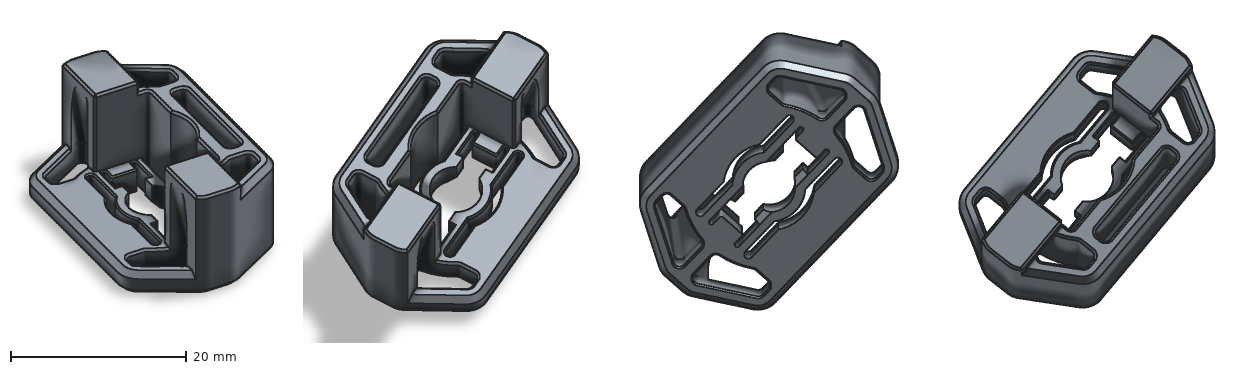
import cadquery as cq
import math

LENGTH = 32.0
WIDTH = 20.0
HEIGHT = 13.6

LONG_SIDE = 22.8
SLANT = math.radians(60)
OUTLINE_RADIUS = 2.72
OUTLINE_CHAMFER = 0.75

FLOOR_TOP = 3.0
REAR_TOP = 12.03
TOWER_WIDTH = 5.9
TOWER_INNER_X = 8.0
RIM_CHAMFER = 0.3
TOWER_CHAMFER = 0.3

CAVITY_Y = 4.22
CAVITY_RADIUS = 5.2
SLOT_INNER_Y = 3.23
SLOT_INNER_RADIUS = 4.15
SLOT_END_RADIUS = 0.48
FLOOR_RIM_CHAMFER = 0.2

OPENING_HALF_LENGTH = 7.8
OPENING_HALF_WIDTH = 2.27
TAB_TIP_X = 6.2
TAB_HALF_WIDTH = 1.7
TAB_CORNER_RADIUS = 0.25
CLAW_END_X = 4.05
CLAW_TIP_Y = 1.5
BORE_RADIUS = 3.0

WALL = 1.8
WINDOW_INNER_X = 8.35
WINDOW_ARC_RADIUS = 10.0
WINDOW_CORNER_RADIUS = 0.7
WINDOW_UNDERSIDE_CHAMFER = 0.2
WINDOW_LOW_END_Y = 0.8
WINDOW_APEX_Z = 12.32

POCKET_LENGTH = 13.25
POCKET_FRONT_Y = 6.2
POCKET_RADIUS = 0.7

HALF_LENGTH = LENGTH / 2
HALF_WIDTH = WIDTH / 2
TOWER_HALF_WIDTH = TOWER_WIDTH / 2
INNER_WALL_Y = HALF_WIDTH - WALL
OVERCUT = 0.32


def block(x0, x1, y0, y1, z0, z1):
    """Axis-aligned box between two corners."""
    return cq.Workplane("XY").box(x1 - x0, y1 - y0, z1 - z0, centered=False).translate((x0, y0, z0))


def disc(radius, z0, z1):
    """Upright cylinder on the Z axis."""
    return cq.Workplane("XY").workplane(offset=z0).circle(radius).extrude(z1 - z0)


def mirrored(shape, plane):
    """A shape joined with its mirror image."""
    return shape.union(shape.mirror(plane))


def slant_x(y):
    """X of the outer slanted side at a given Y, in the +X +Y quadrant."""
    return LONG_SIDE / 2 + (HALF_WIDTH - y) / math.tan(SLANT)


def outline_prism(height):
    """Full outline with rounded corners, chamfered around the bottom."""
    flat_y = HALF_WIDTH - (HALF_LENGTH - LONG_SIDE / 2) * math.tan(SLANT)
    long_x = LONG_SIDE / 2
    quadrant = [(long_x, HALF_WIDTH), (HALF_LENGTH, flat_y)]
    right = quadrant + [(x, -y) for x, y in reversed(quadrant)]
    left = [(-x, -y) for x, y in right]
    prism = cq.Workplane("XY").polyline(right + left).close().extrude(height)
    return prism.edges("|Z").fillet(OUTLINE_RADIUS).faces("<Z").chamfer(OUTLINE_CHAMFER)


def curved_slot(z0, z1):
    """Slot on the +Y side: a straight strip that bulges around the bore, with rounded ends."""
    strip = block(-TOWER_INNER_X, TOWER_INNER_X, SLOT_INNER_Y, CAVITY_Y, z0, z1)
    bulge = disc(CAVITY_RADIUS, z0, z1).intersect(
        block(-CAVITY_RADIUS, CAVITY_RADIUS, SLOT_INNER_Y, CAVITY_RADIUS, z0, z1))
    slot = strip.union(bulge).cut(disc(SLOT_INNER_RADIUS, z0, z1))
    return slot.edges("|Z and (>X or <X)").fillet(SLOT_END_RADIUS)


def clip_opening(z0, z1):
    """Rectangular opening with a tab reaching in from each end."""
    opening = block(-OPENING_HALF_LENGTH, OPENING_HALF_LENGTH,
                    -OPENING_HALF_WIDTH, OPENING_HALF_WIDTH, z0, z1)
    tab = block(TAB_TIP_X, OPENING_HALF_LENGTH, -TAB_HALF_WIDTH, TAB_HALF_WIDTH, z0, z1)
    opening = opening.cut(mirrored(tab, "YZ"))
    return opening.edges("|Z").fillet(TAB_CORNER_RADIUS)


def claws():
    """Claw bars with a 45 degree underside, before the bore is cut through them."""
    root_y = OPENING_HALF_WIDTH + FLOOR_RIM_CHAMFER
    profile = [(root_y, FLOOR_TOP), (CLAW_TIP_Y, FLOOR_TOP),
               (CLAW_TIP_Y, OPENING_HALF_WIDTH - CLAW_TIP_Y), (OPENING_HALF_WIDTH, 0), (root_y, 0)]
    bar = cq.Workplane("YZ").polyline(profile).close().extrude(CLAW_END_X, both=True)
    return mirrored(bar, "XZ")


def window_plan(z0, z1, end_y):
    """Corner window in the +X +Y quadrant with a sharp-cornered end at end_y."""
    inset = WALL / math.sin(SLANT)
    plan = [(WINDOW_INNER_X, INNER_WALL_Y), (slant_x(INNER_WALL_Y) - inset, INNER_WALL_Y),
            (slant_x(end_y) - inset, end_y), (WINDOW_INNER_X, end_y)]
    prism = cq.Workplane("XY").workplane(offset=z0).polyline(plan).close().extrude(z1 - z0)
    prism = prism.cut(disc(WINDOW_ARC_RADIUS, z0, z1))
    return prism.edges("|Z").edges("not <Y").fillet(WINDOW_CORNER_RADIUS)


def window(top):
    """Corner window: upright up to the floor level, then with its end face sloping outward."""
    lower = window_plan(-OVERCUT, FLOOR_TOP, WINDOW_LOW_END_Y)
    lower = lower.faces("<Y").edges("not #Z").fillet(WINDOW_CORNER_RADIUS)

    slope = (TOWER_HALF_WIDTH - WINDOW_LOW_END_Y) / (WINDOW_APEX_Z - FLOOR_TOP)
    top_y = WINDOW_LOW_END_Y + slope * (top - FLOOR_TOP)
    wedge = cq.Workplane("YZ").polyline(
        [(0, FLOOR_TOP), (WINDOW_LOW_END_Y, FLOOR_TOP), (top_y, top), (0, top)]).close().extrude(LENGTH)
    upper = window_plan(FLOOR_TOP, top, WINDOW_LOW_END_Y).cut(wedge)
    sloping_face = upper.faces(cq.selectors.DirectionMinMaxSelector(cq.Vector(0, 1, -slope), False))
    upper = sloping_face.edges("not #Z").fillet(WINDOW_CORNER_RADIUS)
    return lower.union(upper)


def all_windows():
    """The four corner windows."""
    return mirrored(mirrored(window(HEIGHT + OVERCUT), "XZ"), "YZ")


def cavity(z0, z1):
    """Open space in front of the rear block, with a round bulge behind the bore."""
    space = block(-TOWER_INNER_X, TOWER_INNER_X, -CAVITY_Y, CAVITY_Y, z0, z1)
    return space.edges("|Z").fillet(SLOT_END_RADIUS).union(disc(CAVITY_RADIUS, z0, z1))


def pocket():
    """Blind pocket with rounded corners."""
    half = POCKET_LENGTH / 2
    recess = block(-half, half, POCKET_FRONT_Y, INNER_WALL_Y, FLOOR_TOP, HEIGHT)
    return recess.edges("|Z").fillet(POCKET_RADIUS)


def pierced_slab(void, top, rim_chamfer, rim_face=">Z"):
    """Oversized slab pierced by a void, with the rims chamfered on one face."""
    slab = block(-LENGTH, LENGTH, -WIDTH, WIDTH, 0, top).cut(void)
    rims = [edge for wire in slab.faces(rim_face).val().innerWires() for edge in wire.Edges()]
    return slab.newObject(rims).chamfer(rim_chamfer)


def outline_plate(top):
    """Outline with its top edge chamfered as well as its bottom edge."""
    return outline_prism(top).faces(">Z").chamfer(OUTLINE_CHAMFER)


def floor_plate(windows):
    """Floor with windows, slots, central opening and claws."""
    through = (-OVERCUT, FLOOR_TOP + OVERCUT)
    slots = mirrored(curved_slot(*through), "XZ")
    plate = outline_plate(FLOOR_TOP)
    plate = plate.intersect(pierced_slab(windows, FLOOR_TOP, RIM_CHAMFER))
    plate = plate.intersect(pierced_slab(slots, FLOOR_TOP, FLOOR_RIM_CHAMFER))
    plate = plate.intersect(pierced_slab(clip_opening(*through), FLOOR_TOP, FLOOR_RIM_CHAMFER))
    return plate.union(claws()).cut(disc(BORE_RADIUS, *through))


def rear_block(windows):
    """Raised block along the +Y side with its windows, pocket and hollow front face."""
    rear_half = block(-LENGTH, LENGTH, 0, WIDTH, 0, HEIGHT)
    rear = outline_plate(REAR_TOP).intersect(rear_half)
    for void in (windows, cavity(-OVERCUT, HEIGHT), pocket()):
        rear = rear.intersect(pierced_slab(void, REAR_TOP, RIM_CHAMFER))
    return rear


def towers():
    """Full-height towers at both ends."""
    zone = block(TOWER_INNER_X, LENGTH, -TOWER_HALF_WIDTH, TOWER_HALF_WIDTH, 0, HEIGHT)
    tower = outline_prism(HEIGHT).intersect(zone)
    tower = tower.faces(">Z or <X").edges("|Z or >Z").chamfer(TOWER_CHAMFER)
    return mirrored(tower, "YZ")


corner_windows = all_windows()
body = floor_plate(corner_windows).union(rear_block(corner_windows)).union(towers())
result = body.intersect(pierced_slab(corner_windows, HEIGHT, WINDOW_UNDERSIDE_CHAMFER, "<Z"))